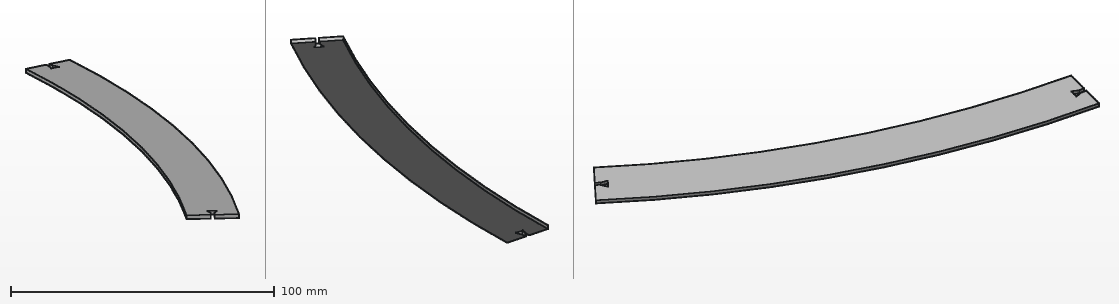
import cadquery as cq
import math

THICKNESS = 1.6
STRIP_WIDTH = 20.0
OUTER_RADIUS = 443.7
END_TO_END = 199.96
END_TILT = 15.0

NECK_WIDTH = 1.5
NECK_DEPTH = 2.2
FLARE_WIDTH = 3.6
SLOT_DEPTH = 5.0

inner_radius = OUTER_RADIUS - STRIP_WIDTH
tilt = math.radians(END_TILT)

corner_x = END_TO_END / 2
corner_y = math.sqrt(OUTER_RADIUS**2 - corner_x**2)

corner_along_edge = corner_x * math.sin(tilt) + corner_y * math.cos(tilt)
end_length = corner_along_edge - math.sqrt(
    corner_along_edge**2 - OUTER_RADIUS**2 + inner_radius**2
)


def end_point(distance):
    """Point on the right-hand end edge at a distance from the outer corner."""
    return (corner_x - distance * math.sin(tilt), corner_y - distance * math.cos(tilt))


def mirrored(point):
    return (-point[0], point[1])


def make_strip():
    outer_corner = end_point(0)
    inner_corner = end_point(end_length)
    return (
        cq.Workplane("XY")
        .moveTo(*mirrored(outer_corner))
        .threePointArc((0, OUTER_RADIUS), outer_corner)
        .lineTo(*inner_corner)
        .threePointArc((0, inner_radius), mirrored(inner_corner))
        .close()
        .extrude(THICKNESS)
    )


def make_right_slot():
    """Cutter running inward from the middle of the right-hand end, square to its face."""
    profile = [
        (0, NECK_WIDTH / 2),
        (-NECK_DEPTH, NECK_WIDTH / 2),
        (-SLOT_DEPTH, FLARE_WIDTH / 2),
        (-SLOT_DEPTH, -FLARE_WIDTH / 2),
        (-NECK_DEPTH, -NECK_WIDTH / 2),
        (0, -NECK_WIDTH / 2),
    ]
    return (
        cq.Workplane("XY")
        .polyline(profile)
        .close()
        .extrude(THICKNESS)
        .rotate((0, 0, 0), (0, 0, 1), -END_TILT)
        .translate((*end_point(end_length / 2), 0))
    )


right_slot = make_right_slot()
left_slot = right_slot.mirror("YZ")
result = make_strip().cut(right_slot).cut(left_slot)